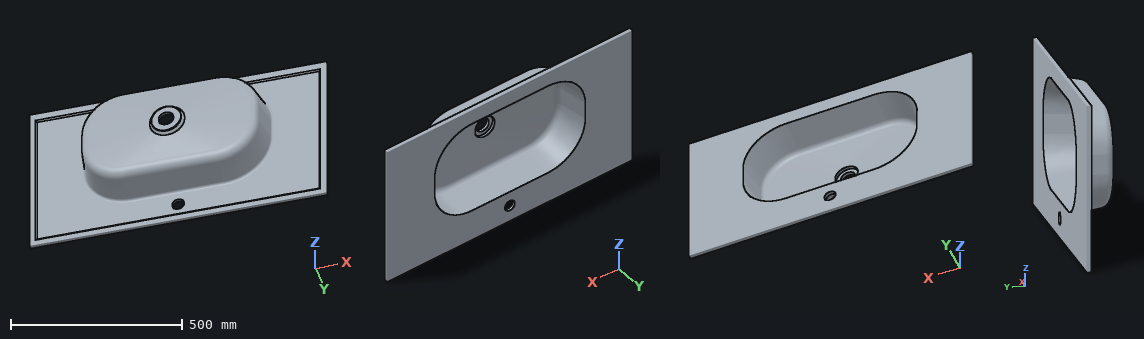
import cadquery as cq
import math

deck_length = 900.0
deck_height = 500.0
deck_thickness = 14.0
deck_edge_radius = 1.0
total_depth = 142.0

recess_depth = 4.0
recess_side_margin = 18.0
recess_top_margin = 26.0
recess_bottom_margin = 18.0
recess_slope_width = 5.0
recess_floor = deck_thickness - recess_depth

basin_z = 31.0
straight_x = 279.0
straight_z = 59.0
wall_radius = 144.0
wall_taper = 10.5
floor_edge_depth = 116.0
floor_centre_depth = 130.0
floor_fillet = 29.0
flare_radius = 9.0
wall_thickness = 9.0

drain_top_radius = 53.0
drain_radius = 45.0
drain_cone_depth = 139.0
drain_seat_depth = 130.5
drain_hole_radius = 22.5
tap_hole_radius = 18.0
tap_hole_z = -190.0


def plane_at(depth, z=0.0):
    """Workplane facing -Y at a depth below the rim, centred on X = 0."""
    return cq.Workplane("XZ", origin=(0, -depth, z))


def basin_outline(depth, corner_radius):
    """Rounded rectangle parallel to the deck at the given depth."""
    length = straight_x + 2 * corner_radius
    height = straight_z + 2 * corner_radius
    sketch = cq.Sketch().rect(length, height).vertices().fillet(corner_radius)
    return plane_at(depth, basin_z).placeSketch(sketch)


def sloping_floor(edge_depth, edge_radius, centre_depth, centre_radius):
    """Ruled floor falling from the rounded rectangle to the round drain."""
    half_x = straight_x / 2
    half_z = straight_z / 2
    centres = [(half_x, half_z), (-half_x, half_z), (-half_x, -half_z), (half_x, -half_z)]
    edge_points = []
    for index, (x, z) in enumerate(centres):
        for step in range(3):
            angle = math.radians(90 * index + 45 * step)
            edge_points.append((x + edge_radius * math.cos(angle), z + edge_radius * math.sin(angle)))

    drain_points = []
    for x, z in edge_points:
        reach = math.hypot(x, z)
        drain_points.append((centre_radius * x / reach, centre_radius * z / reach))

    outer = plane_at(edge_depth, basin_z).moveTo(*edge_points[0])
    inner = plane_at(centre_depth, basin_z).moveTo(*drain_points[0])
    for first in range(0, 12, 3):
        following = (first + 3) % 12
        outer = outer.threePointArc(edge_points[first + 1], edge_points[first + 2])
        outer = outer.lineTo(*edge_points[following])
        inner = inner.threePointArc(drain_points[first + 1], drain_points[first + 2])
        end_angle = math.atan2(drain_points[first + 2][1], drain_points[first + 2][0])
        next_angle = math.atan2(drain_points[following][1], drain_points[following][0])
        turn = (next_angle - end_angle) % (2 * math.pi)
        middle = end_angle + turn / 2
        inner = inner.threePointArc(
            (centre_radius * math.cos(middle), centre_radius * math.sin(middle)),
            drain_points[following],
        )
    wires = [outer.close().val(), inner.close().val()]
    return cq.Workplane(cq.Solid.makeLoft(wires, True))


def basin(start_depth, inset):
    """Tapered basin body, set in from the outer skin by the given distance."""
    taper = math.radians(wall_taper)
    start_radius = wall_radius - (start_depth - recess_floor) * math.tan(taper) - inset / math.cos(taper)
    floor_depth = floor_edge_depth - inset
    height = floor_depth - start_depth
    body = basin_outline(start_depth, start_radius).extrude(height, taper=wall_taper)
    fillet = floor_fillet - inset
    body = body.faces("<Y").edges().fillet(fillet)
    tangent_length = fillet * math.tan((math.pi / 2 - taper) / 2)
    edge_radius = start_radius - height * math.tan(taper) - tangent_length
    floor = sloping_floor(floor_depth, edge_radius, floor_centre_depth - inset, drain_top_radius)
    return body.union(floor)


def deck():
    slab = plane_at(0).rect(deck_length, deck_height).extrude(deck_thickness)
    slab = slab.edges().fillet(deck_edge_radius)
    length = deck_length - 2 * recess_side_margin
    height = deck_height - recess_top_margin - recess_bottom_margin
    centre_z = (recess_bottom_margin - recess_top_margin) / 2
    recess = (
        plane_at(deck_thickness, centre_z)
        .rect(length, height)
        .workplane(offset=-recess_depth)
        .rect(length - 2 * recess_slope_width, height - 2 * recess_slope_width)
        .loft(ruled=True)
    )
    return slab.cut(recess)


def drain_spigot():
    """Round outlet under the basin, coned where it meets the floor."""
    return (
        cq.Workplane("XY")
        .moveTo(0, -floor_centre_depth)
        .lineTo(drain_top_radius, -floor_centre_depth)
        .lineTo(drain_radius, -drain_cone_depth)
        .lineTo(drain_radius, -total_depth)
        .lineTo(0, -total_depth)
        .close()
        .revolve(360, (0, 0, 0), (0, 1, 0))
        .translate((0, 0, basin_z))
    )


def round_hole(radius, z, depth):
    """Round cutter running from the rim face down to the given depth."""
    return plane_at(0, z).circle(radius).extrude(depth)


def wall_joint_box():
    """Selector for the edges where the basin wall leaves the recess floor."""
    clearance = 1.0
    half_x = straight_x / 2 + wall_radius + clearance
    half_z = straight_z / 2 + wall_radius + clearance
    return cq.selectors.BoxSelector(
        (-half_x, -recess_floor - clearance, basin_z - half_z),
        (half_x, -recess_floor + clearance, basin_z + half_z),
        boundingbox=True,
    )


shell = deck().union(basin(recess_floor, 0))
shell = shell.edges(wall_joint_box()).fillet(flare_radius)
shell = shell.union(drain_spigot())

shell = shell.cut(basin(0, wall_thickness))
shell = shell.cut(round_hole(drain_radius - wall_thickness, basin_z, drain_seat_depth))
shell = shell.cut(round_hole(drain_hole_radius, basin_z, total_depth))
result = shell.cut(round_hole(tap_hole_radius, tap_hole_z, total_depth))